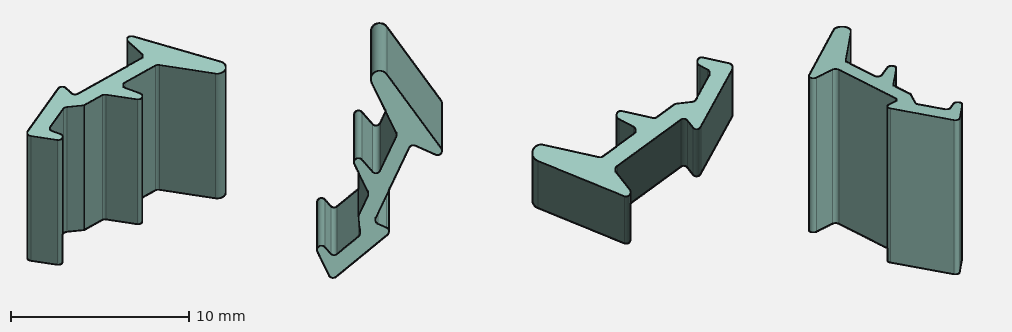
import cadquery as cq
import math

LENGTH = 10.0
TOTAL_WIDTH = 5.44
TOTAL_HEIGHT = 12.12
WEB_THICKNESS = 0.93
LEG_THICKNESS = 0.98
STEP_Y = 3.94
KINK_Y = 3.9

EDGE_RADIUS = 0.25
ARM_TIP_RADIUS = 0.5

ARM_TIP = (3.18, TOTAL_HEIGHT - ARM_TIP_RADIUS)
RIB_TIP = (2.23, 6.73)
FOOT_TIP = (2.02, 1.25)
SHOULDER = (-0.78, STEP_Y - EDGE_RADIUS)

ARM_TOP_ANGLE = 30
BARB_TOP_ANGLE = 25
UNDERCUT_ANGLE = 40
KINK_ANGLE = 60
LEG_ANGLE = BARB_TOP_ANGLE - 90

TOE_X = SHOULDER[0] + (SHOULDER[1] - EDGE_RADIUS) * math.tan(math.radians(BARB_TOP_ANGLE))
TOE = (TOE_X, EDGE_RADIUS)

FLANGE_RUN = TOTAL_WIDTH - ARM_TIP_RADIUS - EDGE_RADIUS
SLOPE = math.radians(ARM_TOP_ANGLE)
FLANGE_DROP = FLANGE_RUN * math.tan(SLOPE) - (ARM_TIP_RADIUS - EDGE_RADIUS) / math.cos(SLOPE)
FLANGE_Y = ARM_TIP[1] - FLANGE_DROP - EDGE_RADIUS


def offset_face(point, angle, distance):
    """Line with the given travel angle, shifted from a point to its right-hand side."""
    a = math.radians(angle)
    return (point[0] + distance * math.sin(a), point[1] - distance * math.cos(a)), angle


def intersect(face_a, face_b):
    """Point where two straight faces meet."""
    (ax, ay), angle_a = face_a
    (bx, by), angle_b = face_b
    a = math.radians(angle_a)
    b = math.radians(angle_b)
    travel = ((bx - ax) * math.sin(b) - (by - ay) * math.cos(b)) / math.sin(b - a)
    return ax + travel * math.cos(a), ay + travel * math.sin(a)


def corner_arc(face_a, face_b, radius):
    """Start, middle and end of the arc that rounds the corner between two faces."""
    x, y = intersect(face_a, face_b)
    turn = (face_b[1] - face_a[1] + 180) % 360 - 180
    half = math.radians(abs(turn) / 2)
    setback = radius * math.tan(half)
    sagitta = radius / math.cos(half) - radius
    a = math.radians(face_a[1])
    b = math.radians(face_b[1])
    inward = math.radians(face_a[1] + turn / 2 + math.copysign(90, turn))
    start = (x - setback * math.cos(a), y - setback * math.sin(a))
    middle = (x + sagitta * math.cos(inward), y + sagitta * math.sin(inward))
    end = (x + setback * math.cos(b), y + setback * math.sin(b))
    return start, middle, end


def rounded_profile(faces):
    """Closed outline from (face, radius) pairs; each radius rounds the end of its face."""
    outline = None
    for i, (face, radius) in enumerate(faces):
        next_face = faces[(i + 1) % len(faces)][0]
        if radius == 0:
            outline = outline.lineTo(*intersect(face, next_face))
            continue
        start, middle, end = corner_arc(face, next_face, radius)
        outline = outline.lineTo(*start) if outline else cq.Workplane("XY").moveTo(*start)
        outline = outline.threePointArc(middle, end)
    return outline.close()


web_inner = ((WEB_THICKNESS, KINK_Y), 90)
faces = [
    (offset_face(ARM_TIP, ARM_TOP_ANGLE + 180, ARM_TIP_RADIUS), EDGE_RADIUS),
    (((0, FLANGE_Y), 0), EDGE_RADIUS),
    (((0, STEP_Y), -90), EDGE_RADIUS),
    (((0, STEP_Y), 180), EDGE_RADIUS),
    (offset_face(SHOULDER, LEG_ANGLE, EDGE_RADIUS), EDGE_RADIUS),
    (offset_face(TOE, UNDERCUT_ANGLE, EDGE_RADIUS), EDGE_RADIUS),
    (offset_face(FOOT_TIP, BARB_TOP_ANGLE + 180, EDGE_RADIUS), EDGE_RADIUS),
    (offset_face(SHOULDER, LEG_ANGLE + 180, LEG_THICKNESS - EDGE_RADIUS), EDGE_RADIUS),
    (((WEB_THICKNESS, KINK_Y), KINK_ANGLE), 0),
    (web_inner, EDGE_RADIUS),
    (offset_face(RIB_TIP, UNDERCUT_ANGLE, EDGE_RADIUS), EDGE_RADIUS),
    (offset_face(RIB_TIP, BARB_TOP_ANGLE + 180, EDGE_RADIUS), EDGE_RADIUS),
    (web_inner, EDGE_RADIUS),
    (offset_face(ARM_TIP, UNDERCUT_ANGLE, ARM_TIP_RADIUS), ARM_TIP_RADIUS),
]

result = rounded_profile(faces).extrude(LENGTH)